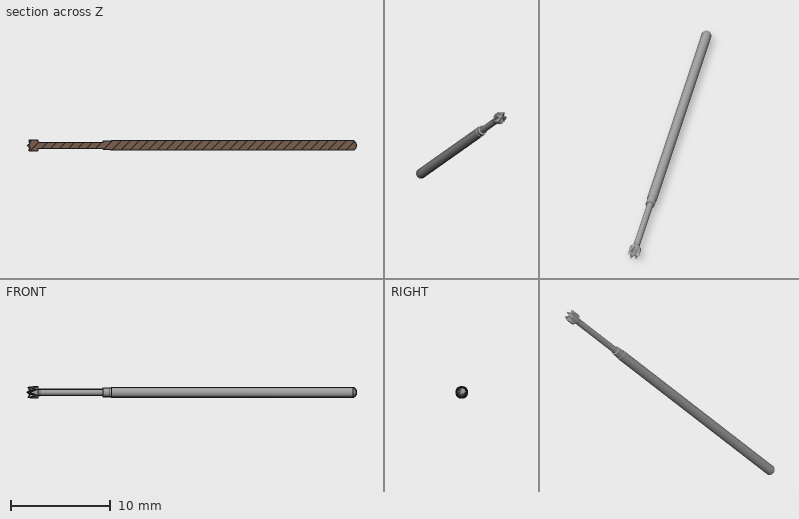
import cadquery as cq
import math


total_length = 33.02

head_diameter = 1.17
plunger_diameter = 0.64
collar_diameter = 0.91
barrel_diameter = 1.02

head_end = 1.13
neck_end = 1.33
collar_start = 7.62
collar_end = 8.27
barrel_start = 8.47
tail_dome_height = 0.36

neck_diameter = 0.70
lip_diameter = 0.93

tooth_count = 6
tooth_setback = 0.1
crown_center_depth = 0.36
point_half_angle = 29
point_length = 0.8
notch_rim_depth = 1.0

pitch_angle = 360 / tooth_count
head_radius = head_diameter / 2


def shank():
    """Turned body of the probe: crown head, plunger, collar and rounded barrel."""
    barrel_radius = barrel_diameter / 2
    tail_start = total_length - tail_dome_height
    dome_radius = (barrel_radius**2 + tail_dome_height**2) / (2 * tail_dome_height)
    dome_center = total_length - dome_radius
    dome_half_angle = math.asin(barrel_radius / dome_radius) / 2
    dome_middle = (
        dome_center + dome_radius * math.cos(dome_half_angle),
        dome_radius * math.sin(dome_half_angle),
    )
    profile = (
        cq.Workplane("XY")
        .moveTo(tooth_setback, 0)
        .lineTo(tooth_setback, head_radius)
        .lineTo(head_end, head_radius)
        .lineTo(head_end, neck_diameter / 2)
        .lineTo(neck_end, plunger_diameter / 2)
        .lineTo(collar_start, plunger_diameter / 2)
        .lineTo(collar_start, collar_diameter / 2)
        .lineTo(collar_end, collar_diameter / 2)
        .lineTo(barrel_start, lip_diameter / 2)
        .lineTo(barrel_start, barrel_radius)
        .lineTo(tail_start, barrel_radius)
        .threePointArc(dome_middle, (total_length, 0))
        .close()
    )
    return profile.revolve(360, (0, 0, 0), (1, 0, 0))


def notch_cutter():
    """Wedge along +Z whose two lower edges become the ridges of neighboring teeth.

    It starts on the axis; its root sinks toward the rim while its side edges
    rise to the tooth tips. It also clears everything in front of those edges.
    """
    reach = 1.5
    wedge_height = reach * head_radius
    half_width = wedge_height * math.tan(math.radians(pitch_angle / 2))
    edge_x = crown_center_depth + reach * (tooth_setback - crown_center_depth)
    root_x = crown_center_depth + reach * (notch_rim_depth - crown_center_depth)

    apex = cq.Vector(crown_center_depth, 0, 0)
    left = cq.Vector(edge_x, -half_width, wedge_height)
    right = cq.Vector(edge_x, half_width, wedge_height)
    front = cq.Vector(-head_radius, 0, 0)
    root = cq.Vector(root_x, 0, wedge_height)
    triangles = [
        [front, left, right],
        [front, apex, left],
        [front, apex, right],
        [apex, left, root],
        [apex, right, root],
        [left, right, root],
    ]
    faces = [cq.Face.makeFromWires(cq.Wire.makePolygon(corners, close=True)) for corners in triangles]
    return cq.Workplane(obj=cq.Solid.makeSolid(cq.Shell.makeShell(faces)))


def center_point():
    """Sharp cone standing in the middle of the crown."""
    base_radius = point_length * math.tan(math.radians(point_half_angle))
    return cq.Workplane(obj=cq.Solid.makeCone(0, base_radius, point_length, dir=cq.Vector(1, 0, 0)))


def crown_notches(body):
    """Cut one notch between each pair of neighboring teeth; teeth lie on the Y axis."""
    for index in range(tooth_count):
        notch = notch_cutter().rotate((0, 0, 0), (1, 0, 0), index * pitch_angle)
        body = body.cut(notch)
    return body


result = crown_notches(shank()).union(center_point())